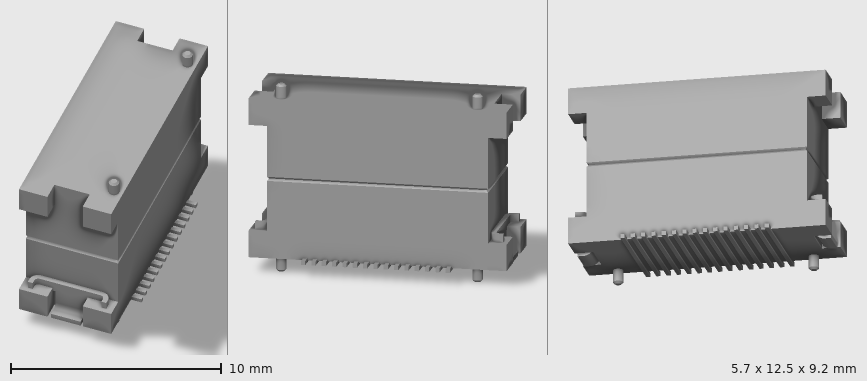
import cadquery as cq

length = 12.5
width = 4.7
body_length = 10.7
flange_height = 1.3
standoff = 0.1
half_height = 3.9
mating_z = standoff + half_height
edge_chamfer = 0.1
notch_width = 1.8

peg_diameter = 0.5
peg_height = 0.7
peg_chamfer = 0.1
peg_x = 1.9
peg_spacing = 9.5

lead_count = 15
lead_pitch = 0.5
lead_width = 0.2
lead_height = 0.2
lead_span = 5.7

sheet = 0.25
bend_radius = 0.25
corner_radius = 0.2
band_width = 4.0
band_reach = 0.65
band_bottom = 1.24
band_top = 1.78
tab_width = 1.5
foot_tip_y = 6.15

body_end = body_length / 2


def box(size_x, size_y, bottom, top):
    """Box centred on the Z axis between two heights."""
    return cq.Workplane("XY", origin=(0, 0, bottom)).rect(size_x, size_y).extrude(top - bottom)


def make_housing():
    """Lower half: end-notched flange, chamfered body and two pegs pointing down."""
    flange_top = standoff + flange_height
    notch_depth = (length - body_length) / 2
    flange = box(width, length, standoff, flange_top)
    notches = (
        cq.Workplane("XY", origin=(0, 0, standoff))
        .pushPoints([(0, side * (length - notch_depth) / 2) for side in (-1, 1)])
        .rect(notch_width, notch_depth)
        .extrude(flange_height)
    )
    body = box(width, body_length, standoff, mating_z).faces(">Z").chamfer(edge_chamfer)
    pegs = (
        cq.Workplane("XY", origin=(0, 0, standoff))
        .pushPoints([(peg_x, side * peg_spacing / 2) for side in (-1, 1)])
        .circle(peg_diameter / 2)
        .extrude(-peg_height)
        .faces("<Z")
        .chamfer(peg_chamfer)
    )
    return flange.cut(notches).union(body).union(pegs)


def make_leads():
    """Row of flat contact bars crossing under the lower flange."""
    return (
        cq.Workplane("XY", origin=(0, 0, lead_height / 2))
        .rarray(0.12, lead_pitch, 1, lead_count)
        .box(lead_span, lead_width, lead_height)
    )


def make_clip():
    """Clip at the -Y end: a band with turned-out ends, and a tab bent into a foot."""
    band = (
        cq.Workplane("XY", origin=(0, -body_end - band_reach / 2, band_bottom))
        .rect(band_width, band_reach)
        .extrude(band_top - band_bottom)
        .edges("|Z and >Y")
        .fillet(corner_radius + sheet)
    )
    band_opening = (
        cq.Workplane("XY", origin=(0, -body_end - sheet - band_reach / 2, band_bottom))
        .rect(band_width - 2 * sheet, band_reach)
        .extrude(band_top - band_bottom)
        .edges("|Z and >Y")
        .fillet(corner_radius)
    )
    outer_radius = bend_radius + sheet
    tab = (
        cq.Workplane("YZ", origin=(-tab_width / 2, 0, 0))
        .moveTo(-body_end, band_bottom)
        .lineTo(-body_end, outer_radius)
        .radiusArc((-body_end - outer_radius, 0), outer_radius)
        .lineTo(-foot_tip_y, 0)
        .lineTo(-foot_tip_y, sheet)
        .lineTo(-body_end - outer_radius, sheet)
        .radiusArc((-body_end - sheet, outer_radius), -bend_radius)
        .lineTo(-body_end - sheet, band_bottom)
        .close()
        .extrude(tab_width)
    )
    return band.cut(band_opening).union(tab)


lower_housing = make_housing()
upper_housing = lower_housing.mirror("XY", (0, 0, mating_z))
clip = make_clip()

result = (
    lower_housing
    .union(upper_housing)
    .union(make_leads())
    .union(clip)
    .union(clip.mirror("XZ"))
)